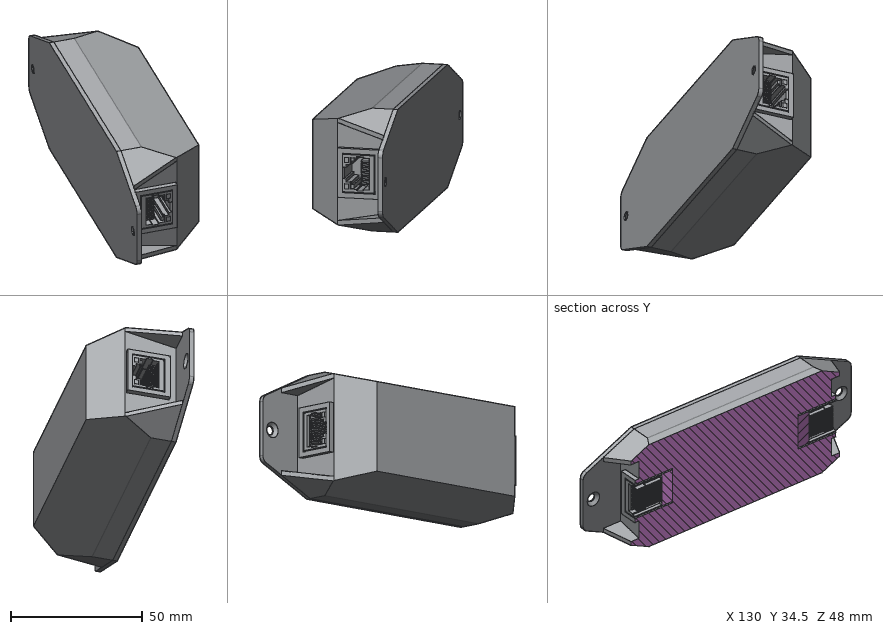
import cadquery as cq

PLATE_LENGTH = 130.0
PLATE_HEIGHT = 48.0
PLATE_THICKNESS = 1.8
LONG_EDGE_HALF = 40.3
SHORT_EDGE_HALF = 12.4
END_CORNER_RADIUS = 3.0
SCREW_HOLE_DIAMETER = 3.4
SCREW_HOLE_X = 60.0
SCREW_HOLE_LAND = 0.5

TOTAL_DEPTH = 34.5
BASE_END_X = 55.2
RIDGE_X = 46.8
RIDGE_Y = 22.1
BACK_END_X = 36.1
SLOPE_START_Y = 10.0
BACK_HALF_HEIGHT = 17.4

RECESS_RIM = 1.8

FRAME_PROJECTION = 2.0
FRAME_Y = (4.7, 21.6)
FRAME_HALF_HEIGHT = 9.6
FACE_X = RIDGE_X + FRAME_PROJECTION
JACK_GAP = 0.4

JACK_Y = (7.3, 19.6)
JACK_HALF_HEIGHT = 7.3
JACK_DEPTH = 18.2
SOCKET_DEPTH = 13.0
SOCKET_Y = (9.1, 16.6)
SOCKET_HALF_HEIGHT = 6.1
SIDE_NOTCH_Y = (11.6, 14.2)
SIDE_NOTCH_HALF_HEIGHT = 6.6
LATCH_SHOULDER_TOP = 18.2
LATCH_SHOULDER_HALF_HEIGHT = 3.4
LATCH_SLOT_HALF_HEIGHT = 2.2
LATCH_SLOT_TOP = 19.1
LEAD_IN_DEPTH = 1.2

FITTING_SETBACK = 1.3
LEDGE_WIDTH = 0.4
STOP_WIDTH = 1.2
STOP_HEIGHT = 1.5
SPRING_SETBACK = 5.2
SPRING_Z = (5.2, 5.5)
CONTACT_COUNT = 10
CONTACT_PITCH = 1.01
CONTACT_WIDTH = 0.5
CONTACT_TOP = 12.7
CONTACT_BASE = 0.4

LIGHT_Y = (17.3, 18.8)
LIGHT_Z = (4.2, 6.1)
LIGHT_DEPTH = 3.9


def block(x_range, y_range, z_range):
    """Box spanning the given X, Y and Z ranges."""
    sizes = [high - low for low, high in (x_range, y_range, z_range)]
    corner = (x_range[0], y_range[0], z_range[0])
    return cq.Workplane("XY").box(*sizes, centered=False).translate(corner)


def inward(depth, setback=0.0):
    """X range that starts behind the jack's front face and runs into the -X end."""
    return (-FACE_X + setback, -FACE_X + depth)


def both_sides(half_height):
    return (-half_height, half_height)


def octagon_prism(y_start, y_end):
    half_length = PLATE_LENGTH / 2
    half_height = PLATE_HEIGHT / 2
    outline = [
        (-half_length, -SHORT_EDGE_HALF),
        (-LONG_EDGE_HALF, -half_height),
        (LONG_EDGE_HALF, -half_height),
        (half_length, -SHORT_EDGE_HALF),
        (half_length, SHORT_EDGE_HALF),
        (LONG_EDGE_HALF, half_height),
        (-LONG_EDGE_HALF, half_height),
        (-half_length, SHORT_EDGE_HALF),
    ]
    prism = cq.Workplane("XZ").polyline(outline).close().extrude(y_start - y_end)
    return prism.translate((0, y_start, 0))


def screw_hole():
    """Hole along Y, countersunk on the plate's inner face."""
    radius = SCREW_HOLE_DIAMETER / 2
    rim_radius = radius + PLATE_THICKNESS - SCREW_HOLE_LAND
    half_section = [
        (0, 0),
        (radius, 0),
        (radius, SCREW_HOLE_LAND),
        (rim_radius, PLATE_THICKNESS),
        (0, PLATE_THICKNESS),
    ]
    return cq.Workplane("XY").polyline(half_section).close().revolve(360, (0, 0), (0, 1))


def make_plate():
    plate = octagon_prism(0, PLATE_THICKNESS)
    for end_edges in ("|Y and <X", "|Y and >X"):
        plate = plate.edges(end_edges).fillet(END_CORNER_RADIUS)
    for x in (-SCREW_HOLE_X, SCREW_HOLE_X):
        plate = plate.cut(screw_hole().translate((x, 0, 0)))
    return plate


def housing_shell():
    """Octagon trimmed by its end profile (in XY) and its wall profile (in YZ)."""
    end_profile = [
        (-BASE_END_X, PLATE_THICKNESS),
        (BASE_END_X, PLATE_THICKNESS),
        (RIDGE_X, RIDGE_Y),
        (BACK_END_X, TOTAL_DEPTH),
        (-BACK_END_X, TOTAL_DEPTH),
        (-RIDGE_X, RIDGE_Y),
    ]
    half_height = PLATE_HEIGHT / 2
    wall_profile = [
        (PLATE_THICKNESS, -half_height),
        (SLOPE_START_Y, -half_height),
        (TOTAL_DEPTH, -BACK_HALF_HEIGHT),
        (TOTAL_DEPTH, BACK_HALF_HEIGHT),
        (SLOPE_START_Y, half_height),
        (PLATE_THICKNESS, half_height),
    ]
    ends = cq.Workplane("XY").polyline(end_profile).close().extrude(half_height, both=True)
    walls = cq.Workplane("YZ").polyline(wall_profile).close().extrude(PLATE_LENGTH / 2, both=True)
    return octagon_prism(PLATE_THICKNESS, TOTAL_DEPTH).intersect(ends).intersect(walls)


def octagon_half_height(x):
    """Half height of the octagon at a distance x from its middle, along the sloping corner."""
    slope = (PLATE_HEIGHT / 2 - SHORT_EDGE_HALF) / (PLATE_LENGTH / 2 - LONG_EDGE_HALF)
    return PLATE_HEIGHT / 2 - slope * (x - LONG_EDGE_HALF)


def end_recess():
    """Cutter for the -X end; its sides follow the end wall's edges at the rim's distance."""
    base_half = octagon_half_height(BASE_END_X) - RECESS_RIM
    ridge_half = octagon_half_height(RIDGE_X) - RECESS_RIM
    outline = [
        (PLATE_THICKNESS, -base_half),
        (RIDGE_Y, -ridge_half),
        (RIDGE_Y, ridge_half),
        (PLATE_THICKNESS, base_half),
    ]
    cutter = cq.Workplane("YZ").polyline(outline).close().extrude(BASE_END_X - RIDGE_X)
    return cutter.translate((-BASE_END_X, 0, 0))


def jack_frame():
    return block(inward(FRAME_PROJECTION), FRAME_Y, both_sides(FRAME_HALF_HEIGHT))


def jack_opening():
    """Opening for the jack, with a gap on every side except the back (+Y) one."""
    y_range = (JACK_Y[0] - JACK_GAP, JACK_Y[1])
    return block(inward(JACK_DEPTH), y_range, both_sides(JACK_HALF_HEIGHT + JACK_GAP))


def make_housing():
    housing = housing_shell()
    for mirrored in (False, True):
        housing = housing.cut(at_end(end_recess(), mirrored))
        housing = housing.union(at_end(jack_frame(), mirrored))
        housing = housing.cut(at_end(jack_opening(), mirrored))
    return housing


def socket():
    """Plug cavity with its side notches and stepped latch slot."""
    depth = inward(SOCKET_DEPTH)
    bottom = SOCKET_Y[0]
    cavity = block(depth, SOCKET_Y, both_sides(SOCKET_HALF_HEIGHT))
    notches = block(depth, SIDE_NOTCH_Y, both_sides(SIDE_NOTCH_HALF_HEIGHT))
    shoulder = block(depth, (bottom, LATCH_SHOULDER_TOP), both_sides(LATCH_SHOULDER_HALF_HEIGHT))
    slot = block(depth, (bottom, LATCH_SLOT_TOP), both_sides(LATCH_SLOT_HALF_HEIGHT))
    lead_in_outline = [
        (-FACE_X, LATCH_SLOT_TOP),
        (-FACE_X + LEAD_IN_DEPTH, LATCH_SLOT_TOP),
        (-FACE_X, JACK_Y[1]),
    ]
    lead_in = (
        cq.Workplane("XY")
        .polyline(lead_in_outline)
        .close()
        .extrude(LATCH_SLOT_HALF_HEIGHT, both=True)
    )
    return cavity.union(notches).union(shoulder).union(slot).union(lead_in)


def contacts():
    """Row of contact blades on a base strip along the socket's -Y wall."""
    x_range = inward(SOCKET_DEPTH, FITTING_SETBACK)
    bottom = SOCKET_Y[0]
    row = block(x_range, (bottom, bottom + CONTACT_BASE), both_sides(SOCKET_HALF_HEIGHT))
    for index in range(CONTACT_COUNT):
        middle = (index - (CONTACT_COUNT - 1) / 2) * CONTACT_PITCH
        z_range = (middle - CONTACT_WIDTH / 2, middle + CONTACT_WIDTH / 2)
        row = row.union(block(x_range, (bottom, CONTACT_TOP), z_range))
    return row


def side_fittings():
    """Ledge, corner stop and spring strip on both Z sides of the socket."""
    x_range = inward(SOCKET_DEPTH, FITTING_SETBACK)
    top = SOCKET_Y[1]
    side = SOCKET_HALF_HEIGHT
    ledge = block(x_range, (top - LEDGE_WIDTH, top), (LATCH_SHOULDER_HALF_HEIGHT, side))
    stop = block(x_range, (top - STOP_WIDTH, top), (side - STOP_HEIGHT, side))
    spring = block(inward(SOCKET_DEPTH, SPRING_SETBACK), SIDE_NOTCH_Y, SPRING_Z)
    upper = ledge.union(stop).union(spring)
    return upper.union(upper.mirror("XY"))


def make_light(side):
    """Indicator light above (side 1) or below (side -1) the latch slot, flush with the jack."""
    light = block(inward(LIGHT_DEPTH), LIGHT_Y, LIGHT_Z)
    return light if side > 0 else light.mirror("XY")


def make_jack():
    jack = block(inward(JACK_DEPTH), JACK_Y, both_sides(JACK_HALF_HEIGHT))
    jack = jack.cut(socket()).union(contacts()).union(side_fittings())
    for side in (1, -1):
        jack = jack.cut(make_light(side))
    return jack


def at_end(body, mirrored):
    """The body at the -X end, or its mirror image at the +X end."""
    return body.mirror("YZ") if mirrored else body


plate = make_plate()
housing = make_housing()
jacks = []
lights = []
for mirrored in (False, True):
    jacks.append(at_end(make_jack(), mirrored))
    for side in (1, -1):
        lights.append(at_end(make_light(side), mirrored))

result = cq.Compound.makeCompound(
    [
        plate.val(),
        housing.val(),
        *[jack.val() for jack in jacks],
        *[light.val() for light in lights],
    ]
)